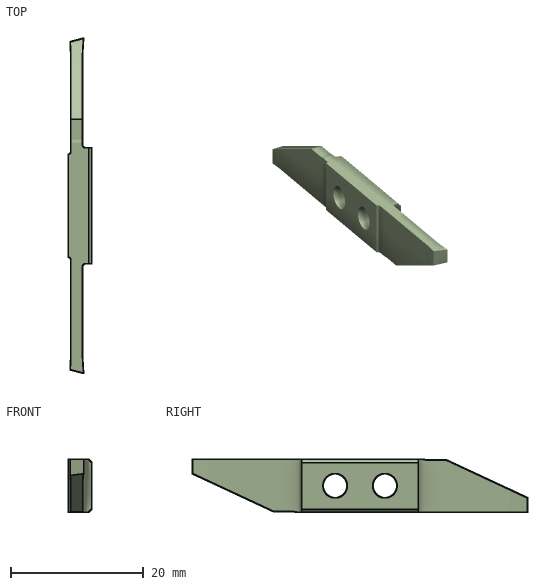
import cadquery as cq
import math

length = 50.5
height = 8.0
pad_thickness = 3.6

blade_thickness = 1.8
blade_back_x = -1.4
blade_front_x = blade_back_x + blade_thickness

pad_back_x = -pad_thickness / 2
pad_front_x = pad_thickness / 2
back_pad_length = 15.5
front_pad_length = 17.5
pad_fillet = 0.4
pad_chamfer = 0.5

taper_angle = 25.0
taper_start_y = 13.0
relief_depth = 0.1
relief_ramp_inner_y = 9.5
relief_ramp_outer_y = 10.0

tip_start_y = 22.7
front_flare = 0.15
back_flare = 0.1
tip_rake = 0.55

hole_diameter = 3.6
hole_spacing = 7.5


def make_plan():
    """Thickness profile in XY, extruded over the full height."""
    half_length = length / 2
    half_back = back_pad_length / 2
    half_front = front_pad_length / 2
    back_corner_y = half_length - tip_rake
    front_flared_x = blade_front_x + front_flare
    back_flared_x = blade_back_x - back_flare
    outline = (
        cq.Workplane("XY")
        .workplane(offset=-height / 2)
        .moveTo(pad_front_x, -half_front)
        .lineTo(pad_front_x, half_front)
        .lineTo(blade_front_x + pad_fillet, half_front)
        .radiusArc((blade_front_x, half_front + pad_fillet), pad_fillet)
        .lineTo(blade_front_x, tip_start_y)
        .lineTo(front_flared_x, half_length)
        .lineTo(back_flared_x, back_corner_y)
        .lineTo(blade_back_x, tip_start_y)
        .lineTo(blade_back_x, half_back + pad_fillet)
        .radiusArc((pad_back_x, half_back), pad_fillet)
        .lineTo(pad_back_x, -half_back)
        .radiusArc((blade_back_x, -half_back - pad_fillet), pad_fillet)
        .lineTo(blade_back_x, -tip_start_y)
        .lineTo(back_flared_x, -back_corner_y)
        .lineTo(front_flared_x, -half_length)
        .lineTo(blade_front_x, -tip_start_y)
        .lineTo(blade_front_x, -half_front - pad_fillet)
        .radiusArc((blade_front_x + pad_fillet, -half_front), pad_fillet)
        .close()
    )
    return outline.extrude(height)


def make_side_silhouette():
    """Side outline in YZ, extruded over the full thickness."""
    half_length = length / 2
    top = height / 2
    relief_z = top - relief_depth
    tip_z = relief_z - (half_length - taper_start_y) * math.tan(math.radians(taper_angle))
    upper_end = [
        (relief_ramp_inner_y, top),
        (relief_ramp_outer_y, relief_z),
        (taper_start_y, relief_z),
        (half_length, tip_z),
        (half_length, -top),
    ]
    lower_end = [(-y, -z) for y, z in upper_end]
    return (
        cq.Workplane("YZ")
        .workplane(offset=pad_back_x)
        .polyline(upper_end + lower_end)
        .close()
        .extrude(pad_thickness)
    )


def chamfer_front_pad(body):
    """Bevel the top and bottom edges of the front pad."""
    return body.faces(">X").edges("|Y").chamfer(pad_chamfer)


def drill_holes(body):
    """Cut the mounting holes through the pads along X."""
    drills = (
        cq.Workplane("YZ")
        .workplane(offset=pad_back_x)
        .pushPoints([(-hole_spacing / 2, 0), (hole_spacing / 2, 0)])
        .circle(hole_diameter / 2)
        .extrude(pad_thickness)
    )
    return body.cut(drills)


blank = make_plan().intersect(make_side_silhouette())
result = drill_holes(chamfer_front_pad(blank))